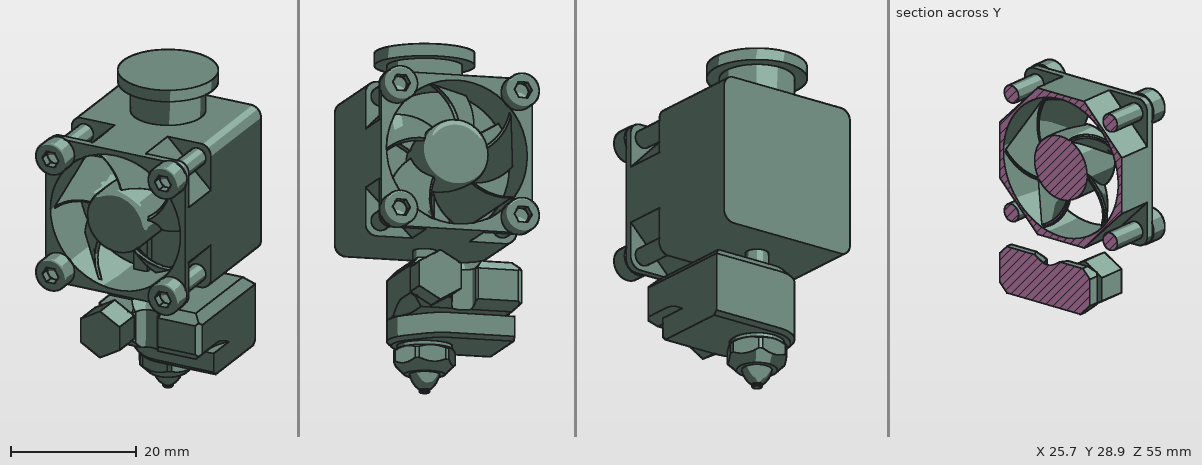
import cadquery as cq
import math

OVERALL_WIDTH = 25.7

FLANGE_DIAMETER = 16.0
FLANGE_THICKNESS = 2.0
NECK_DIAMETER = 12.0
NECK_HEIGHT = 5.0

BODY_SIZE = 25.0
BODY_DEPTH = 25.95
BODY_EDGE_RADIUS = 1.85
NOTCH_LEG = 7.75
NOTCH_DEPTH = 7.55
FRONT_PLATE_THICKNESS = 1.25

HEAD_DIAMETER = 5.5
HEAD_HEIGHT = 3.0
HEAD_EDGE_RADIUS = 0.35
SHANK_DIAMETER = 3.0
SOCKET_ACROSS_FLATS = 2.55
SOCKET_DEPTH = 1.5
SOCKET_CONE_DEPTH = 0.55

BORE_DIAMETER = 23.3
BORE_DEPTH = 10.0
HUB_DIAMETER = 10.85
HUB_FACE_DIAMETER = 8.8
STRUT_WIDTH = 2.5
STRUT_THICKNESS = 1.5
STRUT_ANGLES = (30, 150, 270)
BLADE_COUNT = 5
BLADE_THICKNESS = 0.6
BLADE_FRONT_DEPTH = 1.0
BLADE_BACK_DEPTH = 7.4
BLADE_RADII = (5.15, 8.0, 11.45)
LEADING_EDGE_ANGLES = (83, 94, 108)
TRAILING_EDGE_ANGLES = (33, 51, 71)

ROD_DIAMETER = 3.7
ROD_LENGTH = 3.5

BLOCK_RADIUS = 6.0
BLOCK_HEIGHT = 11.9
BASE_CORNER_SHIFT = 2.25
BASE_CHAMFER = 0.65
ARM_HEIGHT = 8.0
ARM_FRONT_Y = -13.0
ARM_CHAMFER = 1.5
ARM_LEFT_CHAMFER = 2.0
ARM_CORNER_CHAMFER = 0.8
GROOVE_RADIUS = 1.9
GROOVE_CENTER_Y = -12.65
GROOVE_X = 2.75
RUNOUT_RADIUS = 7.05
RUNOUT_Y = -7.35
RUNOUT_SWEEP = 50

PLUG_ACROSS_FLATS = 7.0
PLUG_LENGTH = 5.0
PLUG_X = -2.75

NOZZLE_HEIGHT = 7.6
COLLAR_DIAMETER = 8.8
NOZZLE_ACROSS_FLATS = 9.0
NOZZLE_ACROSS_CORNERS = 10.0
NUT_BOTTOM = 2.95
NUT_TOP = 7.0
NUT_BOTTOM_RADIUS = 3.25
NUT_TOP_RADIUS = 4.4
NUT_CHAMFER_RADIUS = 5.15
NUT_TOP_CHAMFER_HEIGHT = 0.55
TIP_ORIFICE = (0.65, 0)
TIP_LAND_BOTTOM = (0.8, 0.2)
TIP_LAND_TOP = (0.8, 0.5)
TIP_FLANK_MIDDLE = (1.75, 1.45)
TIP_TOP_RADIUS = 2.4

BLOCK_TOP = NOZZLE_HEIGHT + BLOCK_HEIGHT
ARM_BOTTOM = BLOCK_TOP - ARM_HEIGHT
BODY_BOTTOM = BLOCK_TOP + ROD_LENGTH
BODY_TOP = BODY_BOTTOM + BODY_SIZE
BODY_CENTER_Z = BODY_BOTTOM + BODY_SIZE / 2
FLANGE_BOTTOM = BODY_TOP + NECK_HEIGHT
BODY_BACK_Y = FLANGE_DIAMETER / 2
BODY_FRONT_Y = BODY_BACK_Y - BODY_DEPTH
NOTCH_BACK_Y = BODY_FRONT_Y + FRONT_PLATE_THICKNESS + NOTCH_DEPTH
BORE_FLOOR_Y = BODY_FRONT_Y + BORE_DEPTH
SCREW_OFFSET = (OVERALL_WIDTH - HEAD_DIAMETER) / 2
BLOCK_RIGHT_X = BODY_SIZE / 2
OVERLAP = 0.55


def hexagon_diameter(across_flats):
    """Corner to corner size of a hexagon."""
    return across_flats / math.cos(math.radians(30))


def front_plane(y):
    """Plane at depth y, centred on the body and facing forward (-Y)."""
    return cq.Workplane("XZ", origin=(0, y, BODY_CENTER_Z))


def upright_cylinder(diameter, bottom, height):
    return cq.Workplane("XY", origin=(0, 0, bottom)).circle(diameter / 2).extrude(height)


def corner_signs():
    return [(sx, sz) for sx in (-1, 1) for sz in (-1, 1)]


def make_body():
    half = BODY_SIZE / 2
    body = front_plane(BODY_BACK_Y).rect(BODY_SIZE, BODY_SIZE).extrude(BODY_DEPTH)
    body = body.edges("|Y").fillet(BODY_EDGE_RADIUS)
    for sx, sz in corner_signs():
        corner = [
            (sx * half, sz * half),
            (sx * (half - NOTCH_LEG), sz * half),
            (sx * half, sz * (half - NOTCH_LEG)),
        ]
        body = body.cut(front_plane(NOTCH_BACK_Y).polyline(corner).close().extrude(NOTCH_DEPTH))
    return body.cut(front_plane(BORE_FLOOR_Y).circle(BORE_DIAMETER / 2).extrude(BORE_DEPTH))


def make_screw():
    """Screw on the centre of the body's front face, later moved to a corner."""
    head = front_plane(BODY_FRONT_Y).circle(HEAD_DIAMETER / 2).extrude(HEAD_HEIGHT)
    head = head.faces("<Y").edges().fillet(HEAD_EDGE_RADIUS)
    socket_floor_y = BODY_FRONT_Y - HEAD_HEIGHT + SOCKET_DEPTH
    socket_diameter = hexagon_diameter(SOCKET_ACROSS_FLATS)
    socket = front_plane(socket_floor_y).polygon(6, socket_diameter).extrude(SOCKET_DEPTH)
    cone = cq.Solid.makeCone(
        SOCKET_ACROSS_FLATS / 2,
        0,
        SOCKET_CONE_DEPTH,
        pnt=cq.Vector(0, socket_floor_y, BODY_CENTER_Z),
        dir=cq.Vector(0, 1, 0),
    )
    shank_back_y = NOTCH_BACK_Y + OVERLAP
    shank = front_plane(shank_back_y).circle(SHANK_DIAMETER / 2).extrude(shank_back_y - BODY_FRONT_Y)
    return head.cut(socket).cut(cq.Workplane(cone)).union(shank)


def blade_edge(angles, depth):
    """Curved edge of a blade at a given depth behind the front face."""
    points = []
    for radius, degrees in zip(BLADE_RADII, angles):
        angle = math.radians(degrees)
        x = radius * math.cos(angle)
        z = BODY_CENTER_Z + radius * math.sin(angle)
        points.append(cq.Vector(x, BODY_FRONT_Y + depth, z))
    return cq.Edge.makeThreePointArc(*points)


def make_blade():
    """Twisted blade near the top of the fan: a ruled surface given a thickness."""
    leading = blade_edge(LEADING_EDGE_ANGLES, BLADE_FRONT_DEPTH)
    trailing = blade_edge(TRAILING_EDGE_ANGLES, BLADE_BACK_DEPTH)
    surface = cq.Face.makeRuledSurface(leading, trailing)
    chord = trailing.Center() - leading.Center()
    thickness_direction = cq.Vector(-chord.y, chord.x, 0).normalized()
    return cq.Solid.extrudeLinear(surface, thickness_direction * BLADE_THICKNESS)


def make_fan():
    hub = front_plane(BORE_FLOOR_Y + OVERLAP).circle(HUB_DIAMETER / 2).extrude(BORE_DEPTH + OVERLAP)
    fan = hub.faces("<Y").edges().fillet((HUB_DIAMETER - HUB_FACE_DIAMETER) / 2)
    strut_length = BORE_DIAMETER / 2 + OVERLAP
    strut = (
        front_plane(BORE_FLOOR_Y + OVERLAP)
        .center(strut_length / 2, 0)
        .rect(strut_length, STRUT_WIDTH)
        .extrude(STRUT_THICKNESS + OVERLAP)
    )
    axis_start = (0, 0, BODY_CENTER_Z)
    axis_end = (0, -1, BODY_CENTER_Z)
    for angle in STRUT_ANGLES:
        fan = fan.union(strut.rotate(axis_start, axis_end, angle))
    blade = cq.Workplane(make_blade())
    for index in range(BLADE_COUNT):
        fan = fan.union(blade.rotate(axis_start, axis_end, index * 360 / BLADE_COUNT))
    return fan


def make_block_base():
    """Base of the block: two equal round corners joined by a 45 degree flat."""
    r = BLOCK_RADIUS
    diagonal = r * math.sqrt(0.5)
    shift = BASE_CORNER_SHIFT
    right = BLOCK_RIGHT_X + 2 * BASE_CHAMFER
    arc_middle = math.radians(67.5)
    corner_middle = (shift - r * math.cos(arc_middle), -shift - r * math.sin(arc_middle))
    outline = (
        cq.Workplane("XY", origin=(0, 0, NOZZLE_HEIGHT + BASE_CHAMFER))
        .moveTo(right, r)
        .lineTo(0, r)
        .threePointArc((-r, 0), (-diagonal, -diagonal))
        .lineTo(shift - diagonal, -shift - diagonal)
        .threePointArc(corner_middle, (shift, -shift - r))
        .lineTo(right, -shift - r)
        .close()
    )
    base = outline.extrude(BLOCK_HEIGHT - ARM_HEIGHT - BASE_CHAMFER)
    foot = outline.toPending().extrude(-BASE_CHAMFER, taper=45)
    excess = cq.Workplane("YZ", origin=(BLOCK_RIGHT_X, 0, NOZZLE_HEIGHT)).rect(4 * r, 4 * r).extrude(2 * r)
    return base.union(foot).cut(excess)


def make_arm_blank():
    """Arm without groove and rim: sloped lower front edge and chamfered front corners."""
    profile = [
        (ARM_FRONT_Y + ARM_CHAMFER, ARM_BOTTOM),
        (ARM_FRONT_Y, ARM_BOTTOM + ARM_CHAMFER),
        (ARM_FRONT_Y, BLOCK_TOP),
        (BLOCK_RADIUS, BLOCK_TOP),
        (BLOCK_RADIUS, ARM_BOTTOM),
    ]
    blank = (
        cq.Workplane("YZ", origin=(-BLOCK_RADIUS, 0, 0))
        .polyline(profile)
        .close()
        .extrude(BLOCK_RADIUS + BLOCK_RIGHT_X)
    )
    return blank.edges("|Z and <Y").chamfer(ARM_CORNER_CHAMFER)


def make_arm_rim():
    """Outline of the arm with its front groove and the chamfer around the top face."""
    r = BLOCK_RADIUS
    right = BLOCK_RIGHT_X
    groove_back = (GROOVE_X, GROOVE_CENTER_Y + GROOVE_RADIUS)
    groove_flare = GROOVE_RADIUS + GROOVE_CENTER_Y - ARM_FRONT_Y
    outline = (
        cq.Workplane("XY", origin=(0, 0, BLOCK_TOP - ARM_CHAMFER))
        .moveTo(right, r)
        .lineTo(0, r)
        .threePointArc((-r * math.sqrt(0.5), r * math.sqrt(0.5)), (-r, 0))
        .lineTo(-r, ARM_FRONT_Y)
        .lineTo(GROOVE_X - groove_flare, ARM_FRONT_Y)
        .lineTo(GROOVE_X - GROOVE_RADIUS, GROOVE_CENTER_Y)
        .threePointArc(groove_back, (GROOVE_X + GROOVE_RADIUS, GROOVE_CENTER_Y))
        .lineTo(GROOVE_X + groove_flare, ARM_FRONT_Y)
        .lineTo(right, ARM_FRONT_Y)
        .close()
    )
    wall = outline.extrude(ARM_CHAMFER - ARM_HEIGHT)
    rim = outline.toPending().extrude(ARM_CHAMFER, taper=45)
    return wall.union(rim)


def make_arm_underside():
    """Envelope of the arm whose lower side edges flare out at 45 degrees.

    Along both sides the chamfer runs out towards the back in a large arc.
    """
    left = -BLOCK_RADIUS + ARM_LEFT_CHAMFER
    right = BLOCK_RIGHT_X - ARM_CHAMFER
    front = 2 * ARM_FRONT_Y
    back = 2 * BLOCK_RADIUS
    sweep = math.radians(RUNOUT_SWEEP)
    side = RUNOUT_RADIUS * (1 - math.cos(sweep))
    mid_side = RUNOUT_RADIUS * (1 - math.cos(sweep / 2))
    end_y = RUNOUT_Y + RUNOUT_RADIUS * math.sin(sweep)
    mid_y = RUNOUT_Y + RUNOUT_RADIUS * math.sin(sweep / 2)
    outline = (
        cq.Workplane("XY", origin=(0, 0, ARM_BOTTOM))
        .moveTo(left, front)
        .lineTo(right, front)
        .lineTo(right, RUNOUT_Y)
        .threePointArc((right + mid_side, mid_y), (right + side, end_y))
        .lineTo(right + side, back)
        .lineTo(left - side, back)
        .lineTo(left - side, end_y)
        .threePointArc((left - mid_side, mid_y), (left, RUNOUT_Y))
        .close()
    )
    flare = outline.extrude(ARM_LEFT_CHAMFER, taper=-45)
    upper = (
        cq.Workplane("XY", origin=(0, 0, ARM_BOTTOM + ARM_LEFT_CHAMFER))
        .rect(4 * BODY_SIZE, 4 * BODY_SIZE)
        .extrude(ARM_HEIGHT)
    )
    return flare.union(upper)


def make_plug():
    plug_z = BLOCK_TOP - ARM_HEIGHT / 2
    return (
        cq.Workplane("XZ", origin=(PLUG_X, ARM_FRONT_Y, plug_z))
        .transformed(rotate=(0, 0, 30))
        .polygon(6, hexagon_diameter(PLUG_ACROSS_FLATS))
        .extrude(PLUG_LENGTH)
    )


def make_nut():
    """Hexagon with flattened corners and turned chamfers on its bottom and top."""
    height = NUT_TOP - NUT_BOTTOM
    plane = cq.Workplane("XY", origin=(0, 0, NUT_BOTTOM))
    hexagon = plane.polygon(6, hexagon_diameter(NOZZLE_ACROSS_FLATS)).extrude(height)
    corner_flats = (
        plane.transformed(rotate=(0, 0, 30))
        .polygon(6, hexagon_diameter(NOZZLE_ACROSS_CORNERS))
        .extrude(height)
    )
    lower_chamfer_height = NUT_CHAMFER_RADIUS - NUT_BOTTOM_RADIUS
    profile = [
        (0, NUT_BOTTOM),
        (NUT_BOTTOM_RADIUS, NUT_BOTTOM),
        (NUT_CHAMFER_RADIUS, NUT_BOTTOM + lower_chamfer_height),
        (NUT_CHAMFER_RADIUS, NUT_TOP - NUT_TOP_CHAMFER_HEIGHT),
        (NUT_TOP_RADIUS, NUT_TOP),
        (0, NUT_TOP),
    ]
    turned = cq.Workplane("XZ").polyline(profile).close().revolve()
    return hexagon.intersect(corner_flats).intersect(turned)


def make_nozzle():
    collar = upright_cylinder(COLLAR_DIAMETER, NUT_TOP, NOZZLE_HEIGHT - NUT_TOP)
    tip = (
        cq.Workplane("XZ")
        .lineTo(*TIP_ORIFICE)
        .lineTo(*TIP_LAND_BOTTOM)
        .lineTo(*TIP_LAND_TOP)
        .threePointArc(TIP_FLANK_MIDDLE, (TIP_TOP_RADIUS, NUT_BOTTOM))
        .lineTo(0, NUT_BOTTOM)
        .close()
        .revolve()
    )
    return make_nut().union(collar).union(tip)


result = make_body().union(make_fan())
screw = make_screw()
for sx, sz in corner_signs():
    result = result.union(screw.translate((sx * SCREW_OFFSET, 0, sz * SCREW_OFFSET)))
result = result.union(upright_cylinder(NECK_DIAMETER, BODY_TOP, NECK_HEIGHT))
result = result.union(upright_cylinder(FLANGE_DIAMETER, FLANGE_BOTTOM, FLANGE_THICKNESS))
result = result.union(make_block_base())
arm = make_arm_blank().intersect(make_arm_rim()).intersect(make_arm_underside())
result = result.union(arm)
result = result.union(make_plug())
result = result.union(make_nozzle())
result = result.union(upright_cylinder(ROD_DIAMETER, BLOCK_TOP, ROD_LENGTH))